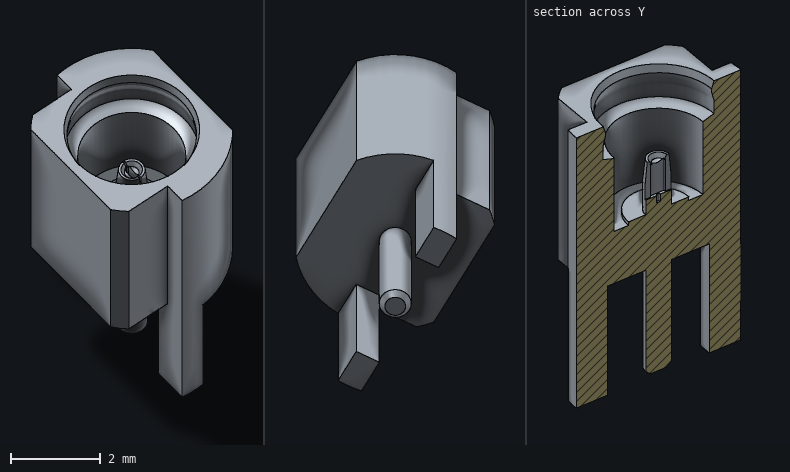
import cadquery as cq

TOTAL_HEIGHT = 7.44
BODY_DIAMETER = 4.5
BODY_DEPTH = 3.5
LEG_LENGTH = 3.0
BODY_HEIGHT = TOTAL_HEIGHT - LEG_LENGTH

FRONT_WIDTH = 3.42
NOTCH_Y = -0.35

LEG_SPACING = 2.77
LEG_THICKNESS = 0.59

RIM_RADIUS = 1.51
LIP_RADIUS = 1.44
BORE_RADIUS = 1.205
RIM_CHAMFER_DEPTH = 0.19
LIP_DEPTH = 0.3
GROOVE_DEPTH = 0.535
SEAT_DEPTH = 0.9
BORE_START_DEPTH = 1.0
FLOOR_DEPTH = 3.0

INSULATOR_RADIUS = 0.825
INSULATOR_HEIGHT = 0.1

PIN_RADIUS = 0.36
PIN_BOTTOM = 0.1
PIN_CHAMFER = 0.13
CONTACT_TOP_DEPTH = 1.5
CONTACT_TOP = TOTAL_HEIGHT - CONTACT_TOP_DEPTH
CONTACT_TAPER_LENGTH = 0.6
CONTACT_TAPER_WIDTH = 0.06

FUNNEL_RADIUS = 0.24
FUNNEL_DEPTH = 0.11
CONE_RADIUS = 0.16
CONE_DEPTH = 0.08
POCKET_LENGTH = 0.4
POCKET_WIDTH = 0.135
ENTRY_DEPTH = 1.0
SMALL_HOLE_RADIUS = 0.045
SMALL_HOLE_DEPTH = 0.2
SLOT_WIDTH = 0.04


def round_bar():
    """Flattened round bar spanning the full height of the part."""
    bar = cq.Workplane("XY").circle(BODY_DIAMETER / 2).extrude(TOTAL_HEIGHT)
    flats = cq.Workplane("XY").rect(BODY_DIAMETER, BODY_DEPTH).extrude(TOTAL_HEIGHT)
    bar = bar.intersect(flats)
    notch_width = (BODY_DIAMETER - FRONT_WIDTH) / 2
    notch_length = BODY_DEPTH / 2 + NOTCH_Y
    notch_x = (FRONT_WIDTH + notch_width) / 2
    for side in (-1, 1):
        notch = (
            cq.Workplane("XY")
            .center(side * notch_x, NOTCH_Y - notch_length / 2)
            .rect(notch_width, notch_length)
            .extrude(TOTAL_HEIGHT)
        )
        bar = bar.cut(notch)
    return bar


def leg_region():
    """Space below the body that keeps only the two legs."""
    leg_width = (BODY_DIAMETER - LEG_SPACING) / 2
    leg_x = (LEG_SPACING + leg_width) / 2
    leg_y = NOTCH_Y + LEG_THICKNESS / 2
    return (
        cq.Workplane("XY")
        .pushPoints([(-leg_x, leg_y), (leg_x, leg_y)])
        .rect(leg_width, LEG_THICKNESS)
        .extrude(LEG_LENGTH)
    )


def shell():
    """Body with its two legs."""
    body_region = (
        cq.Workplane("XY")
        .workplane(offset=LEG_LENGTH)
        .rect(BODY_DIAMETER, BODY_DEPTH)
        .extrude(BODY_HEIGHT)
    )
    return round_bar().intersect(body_region.union(leg_region()))


def socket():
    """Revolved socket cavity: chamfered rim, snap lip, groove, sloped seat and bore."""
    steps = [
        (RIM_RADIUS, 0),
        (LIP_RADIUS, RIM_CHAMFER_DEPTH),
        (LIP_RADIUS, LIP_DEPTH),
        (RIM_RADIUS, GROOVE_DEPTH),
        (RIM_RADIUS, SEAT_DEPTH),
        (BORE_RADIUS, BORE_START_DEPTH),
        (BORE_RADIUS, FLOOR_DEPTH),
        (0, FLOOR_DEPTH),
    ]
    outline = cq.Workplane("XZ").moveTo(0, TOTAL_HEIGHT)
    for radius, depth in steps:
        outline = outline.lineTo(radius, TOTAL_HEIGHT - depth)
    return outline.close().revolve(360, (0, 0, 0), (0, 1, 0))


def insulator():
    """Disc on the socket floor around the contact."""
    return (
        cq.Workplane("XY")
        .workplane(offset=TOTAL_HEIGHT - FLOOR_DEPTH)
        .circle(INSULATOR_RADIUS)
        .extrude(INSULATOR_HEIGHT)
    )


def pin():
    """Round pin from solder end to contact tip, chamfered below and tapered at the tip."""
    return (
        cq.Workplane("XY")
        .workplane(offset=PIN_BOTTOM)
        .circle(PIN_RADIUS)
        .extrude(CONTACT_TOP - PIN_BOTTOM)
        .faces("<Z")
        .chamfer(PIN_CHAMFER)
        .faces(">Z")
        .chamfer(CONTACT_TAPER_LENGTH, CONTACT_TAPER_WIDTH)
    )


def pin_entry():
    """Space cut from the contact tip to receive the mating pin."""
    cone_top = CONTACT_TOP - FUNNEL_DEPTH
    pocket_floor = CONTACT_TOP - ENTRY_DEPTH
    funnel = (
        cq.Workplane("XZ")
        .moveTo(0, CONTACT_TOP)
        .lineTo(FUNNEL_RADIUS, CONTACT_TOP)
        .lineTo(CONE_RADIUS, cone_top)
        .lineTo(0, cone_top - CONE_DEPTH)
        .close()
        .revolve(360, (0, 0, 0), (0, 1, 0))
    )
    floor_plane = cq.Workplane("XY").workplane(offset=pocket_floor)
    pocket = floor_plane.rect(POCKET_LENGTH, POCKET_WIDTH).extrude(cone_top - pocket_floor)
    slot = floor_plane.rect(2 * PIN_RADIUS, SLOT_WIDTH).extrude(ENTRY_DEPTH)
    small_hole = floor_plane.circle(SMALL_HOLE_RADIUS).extrude(-SMALL_HOLE_DEPTH)
    return funnel.union(pocket).union(slot).union(small_hole)


def contact():
    """Pin with the slotted entry at its tip."""
    return pin().cut(pin_entry())


result = shell().cut(socket()).union(insulator()).union(contact())